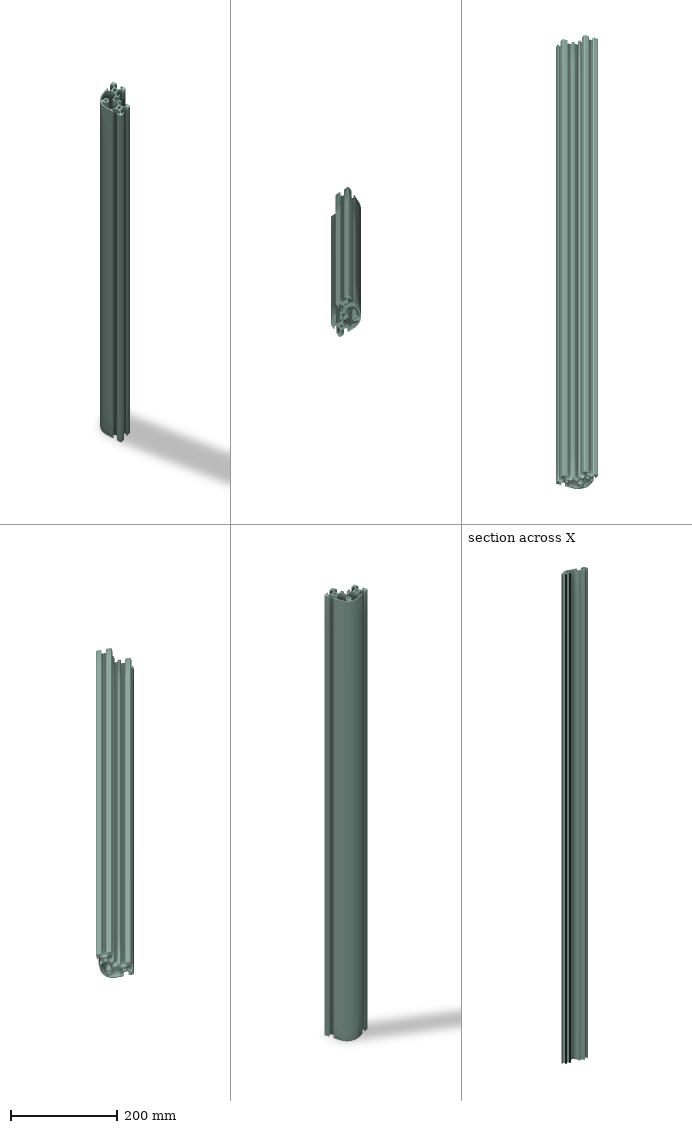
import cadquery as cq
import math

length = 1000.0
module = 30.0
side = 2 * module
middle = module / 2
far_middle = module + middle
wall = 2.0
corner_radius = 25.0
edge_radius = 2.0

slot_opening = 8.5
slot_width = 17.0
slot_depth = 9.2
slot_shoulder = 5.0
slot_floor = 9.0
lip = 2.0
lip_bevel = 1.2

cavity_foot = 4.0
cavity_inner_inset = 5.0

core_bore = 7.3
boss_diameter = 11.0
boss_bore = 6.0
boss_web = 6.0

tube_outer = 13.0
tube_inner = 9.0
inner_bevel = 4.0


def prism(points):
    """Closed outline extruded over the full length."""
    return cq.Workplane("XY").polyline(points).close().extrude(length)


def block(x, y, size_x, size_y):
    """Full-length rectangular bar centred on (x, y)."""
    return cq.Workplane("XY").center(x, y).rect(size_x, size_y).extrude(length)


def rod(x, y, diameter):
    """Full-length round bar centred on (x, y)."""
    return cq.Workplane("XY").center(x, y).circle(diameter / 2).extrude(length)


def round_edges(body, corners, radius):
    """Fillet the full-length edges standing on the given section corners."""
    for x, y in corners:
        edge = cq.selectors.NearestToPointSelector((x, y, length / 2))
        body = body.edges(edge).fillet(radius)
    return body


def l_body():
    """Solid L-section with its large rounded corner and small free corners."""
    body = prism([(0, 0), (side, 0), (side, module), (module, module), (module, side), (0, side)])
    body = round_edges(body, [(0, 0)], corner_radius)
    free_corners = [(0, side), (module, side), (side, module), (side, 0)]
    return round_edges(body, free_corners, edge_radius)


def corner_cavity():
    """Hollow of the corner module, reaching to the cores of both end modules."""
    core_face = module + slot_depth
    foot = module + cavity_foot
    inner = module - cavity_inner_inset
    arm = [
        (foot, wall),
        (core_face, middle - slot_floor / 2),
        (core_face, middle + slot_floor / 2),
        (foot, inner),
    ]
    mirrored_arm = [(y, x) for x, y in reversed(arm)]
    cavity = prism([(wall, wall)] + arm + [(inner, inner)] + mirrored_arm)
    return round_edges(cavity, [(wall, wall)], corner_radius - wall)


def screw_boss():
    """Round boss tied to the rounded wall by a diagonal web."""
    web_start = corner_radius * (1 - math.sqrt(0.5)) + wall / 2
    web_length = math.sqrt(2) * (middle - web_start)
    web_centre = (middle + web_start) / 2
    web = block(0, 0, web_length, boss_web).rotate((0, 0, 0), (0, 0, 1), 45)
    return rod(middle, middle, boss_diameter).union(web.translate((web_centre, web_centre, 0)))


def corner_tube():
    """Outside of the closed tube; a bevel joins it to the inner corner of the L."""
    low = module - tube_outer / 2
    high = module + inner_bevel
    return prism([(low, low), (high, low), (high, module), (module, high), (low, high)])


def t_slot(x, y, angle):
    """T-slot cutter whose mouth is at (x, y); at angle 0 the mouth faces +Y."""
    half = [
        (slot_opening / 2 + lip_bevel, 0),
        (slot_opening / 2, -lip_bevel),
        (slot_opening / 2, -lip),
        (slot_width / 2, -lip),
        (slot_width / 2, -slot_shoulder),
        (slot_floor / 2, -slot_depth),
    ]
    outline = half + [(-px, py) for px, py in reversed(half)]
    return prism(outline).rotate((0, 0, 0), (0, 0, 1), angle).translate((x, y, 0))


profile = l_body().cut(corner_cavity()).union(screw_boss()).union(corner_tube())

slots = [
    (middle, side, 0),
    (0, far_middle, 90),
    (module, far_middle, 270),
    (side, middle, 270),
    (far_middle, module, 0),
    (far_middle, 0, 180),
]
for x, y, angle in slots:
    profile = profile.cut(t_slot(x, y, angle))

profile = profile.cut(block(module, module, tube_inner, tube_inner))
profile = profile.cut(rod(middle, middle, boss_bore))
for x, y in [(middle, far_middle), (far_middle, middle)]:
    profile = profile.cut(rod(x, y, core_bore))

result = profile